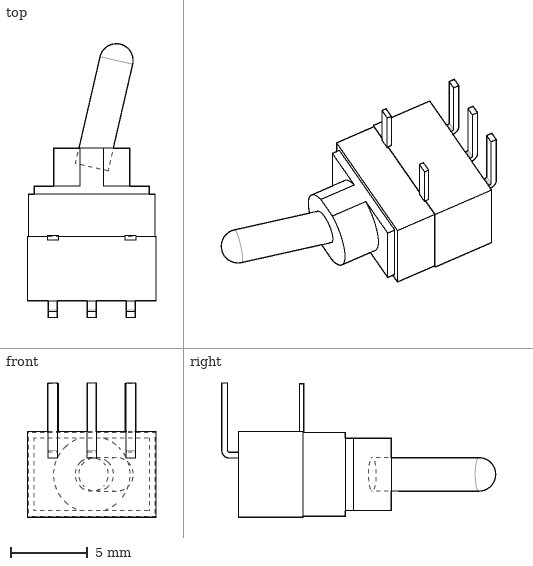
import cadquery as cq
import math


rear_width = 8.4
rear_height = 5.62
rear_end = 4.2
front_width = 8.27
front_height = 5.5
front_end = 6.98
bezel_width = 7.52
bezel_height = 4.75
bezel_end = 7.5

bushing_diameter = 5.0
bushing_length = 2.49
bushing_end = bezel_end + bushing_length

rear_top = rear_height / 2
terminal_overhang = 1.1
overall_length = 17.91
lever_tip = overall_length - terminal_overhang

lever_diameter = 2.2
lever_radius = lever_diameter / 2
lever_tilt = 13.0
lever_pivot = bezel_end + bushing_length / 2
dome_center_rise = lever_tip - lever_radius - lever_pivot
lever_shank = dome_center_rise / math.cos(math.radians(lever_tilt))

terminal_count = 3
pin_pitch = 2.55
terminal_width = 0.6
terminal_thickness = 0.4
terminal_drop = 1.75
terminal_rise = 3.17
bend_inner_radius = 0.1
bend_outer_radius = bend_inner_radius + terminal_thickness

mount_width = 0.72
mount_thickness = 0.3
mount_rear = 3.98
mount_rise = 3.12


def block(width, height, start, end):
    """Box centred on the Y axis, reaching from start to end."""
    return cq.Workplane("XY").box(width, end - start, height).translate((0, (start + end) / 2, 0))


def make_bushing():
    """Round bushing cut to two horizontal flats."""
    cylinder = (
        cq.Workplane("XZ", origin=(0, bezel_end, 0))
        .circle(bushing_diameter / 2)
        .extrude(-bushing_length)
    )
    return cylinder.intersect(block(bushing_diameter, bezel_height, bezel_end, bushing_end))


def make_terminal(x):
    """Terminal that leaves the rear face and bends upward."""
    foot_bottom = rear_top - terminal_drop
    foot_top = foot_bottom + terminal_thickness
    leg_top = rear_top + terminal_rise
    leg_inner = terminal_thickness - terminal_overhang
    profile = [
        (0, foot_bottom),
        (-terminal_overhang, foot_bottom),
        (-terminal_overhang, leg_top),
        (leg_inner, leg_top),
        (leg_inner, foot_top),
        (0, foot_top),
    ]
    terminal = (
        cq.Workplane("YZ", origin=(x, 0, 0))
        .polyline(profile)
        .close()
        .extrude(terminal_width / 2, both=True)
    )
    outer_corner = cq.selectors.NearestToPointSelector((x, -terminal_overhang, foot_bottom))
    inner_corner = cq.selectors.NearestToPointSelector((x, leg_inner, foot_top))
    terminal = terminal.edges("|X").edges(outer_corner).fillet(bend_outer_radius)
    return terminal.edges("|X").edges(inner_corner).fillet(bend_inner_radius)


def make_mounting_pin(x):
    """Flat pin rising from the middle of the housing."""
    pin_height = rear_top + mount_rise
    return (
        cq.Workplane("XY")
        .box(mount_width, mount_thickness, pin_height, centered=(True, False, False))
        .translate((x, mount_rear, 0))
    )


def make_lever():
    """Cylinder with a domed tip, tilted about the pivot."""
    dome_start = lever_pivot + lever_shank
    shank = (
        cq.Workplane("XZ", origin=(0, lever_pivot, 0))
        .circle(lever_radius)
        .extrude(-lever_shank)
    )
    dome = cq.Workplane("XY").sphere(lever_radius).translate((0, dome_start, 0))
    pivot = (0, lever_pivot, 0)
    return shank.union(dome).rotate(pivot, (0, lever_pivot, 1), -lever_tilt)


def make_housing(lever):
    """Housing with its bushing and pins, and a socket that fits the lever."""
    housing = (
        block(rear_width, rear_height, 0, rear_end)
        .union(block(front_width, front_height, rear_end, front_end))
        .union(block(bezel_width, bezel_height, front_end, bezel_end))
        .union(make_bushing())
    )
    for index in range(terminal_count):
        x = (index - (terminal_count - 1) / 2) * pin_pitch
        housing = housing.union(make_terminal(x))
    for x in (-pin_pitch, pin_pitch):
        housing = housing.union(make_mounting_pin(x))
    return housing.clean().cut(lever)


lever = make_lever()
housing = make_housing(lever)
result = cq.Compound.makeCompound([housing.val(), lever.val()])